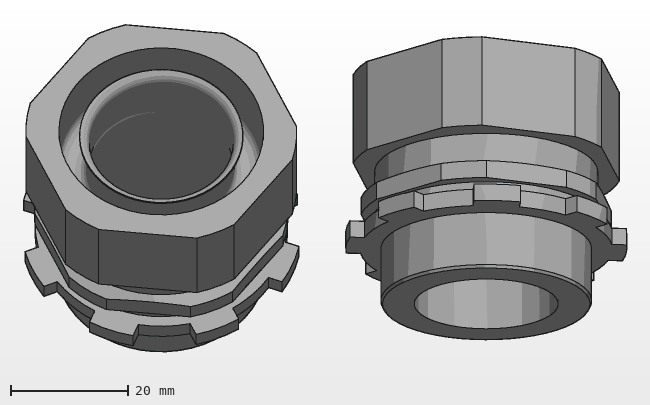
import cadquery as cq
import math

total_height = 40.0
head_bottom = 23.95
nut_top = 18.75
nut_bottom = 15.0
lock_top = 12.95
lock_bottom = 9.95

thread_radius = 17.95
seat_radius = 19.5
collar_radius = 19.05
thread_chamfer_width = 0.3
thread_chamfer_height = 0.55

head_flat = 21.5
head_corner_radius = 23.1
nut_flat = 20.35
nut_corner_radius = 21.6
nut_bevel_height = 0.65

lock_root_radius = 21.5
tooth_tip_radius = 23.95
tooth_width = 7.95
tooth_count = 8

bore_radius = 12.25
socket_radius = 17.45
socket_shoulder = 29.7
sleeve_wall = 0.25
sleeve_top = 38.7
flare_width = 1.65
flare_height = 2.0

groove_bottom = 28.37
groove_top = 29.5
groove_depth = 0.1


def disc(radius, bottom, top):
    return cq.Workplane("XY").workplane(offset=bottom).circle(radius).extrude(top - bottom)


def hexagon(half_flats, corner_radius, bottom, top):
    """Hexagonal prism with flats facing +Y and -Y and turned-down corners."""
    corner_diameter = 2 * half_flats / math.cos(math.pi / 6)
    prism = cq.Workplane("XY").workplane(offset=bottom).polygon(6, corner_diameter).extrude(top - bottom)
    return prism.intersect(disc(corner_radius, bottom, top))


def revolve(profile):
    """Revolve a closed (radius, height) profile around the Z axis."""
    return profile.close().revolve(360, (0, 0, 0), (0, 1, 0))


def beveled_nut():
    nut = hexagon(nut_flat, nut_corner_radius, nut_bottom, nut_top)
    envelope = revolve(
        cq.Workplane("XZ")
        .moveTo(0, nut_bottom)
        .lineTo(nut_corner_radius, nut_bottom)
        .lineTo(nut_corner_radius, nut_top - nut_bevel_height)
        .lineTo(collar_radius, nut_top)
        .lineTo(0, nut_top)
    )
    return nut.intersect(envelope)


def lock_ring():
    height = lock_top - lock_bottom
    teeth = cq.Workplane("XY")
    for i in range(tooth_count // 2):
        bar = (
            cq.Workplane("XY")
            .box(2 * tooth_tip_radius, tooth_width, height, centered=(True, True, False))
            .translate((0, 0, lock_bottom))
            .rotate((0, 0, 0), (0, 0, 1), i * 360 / tooth_count)
        )
        teeth = teeth.add(bar)
    teeth = teeth.combine()
    teeth = teeth.intersect(disc(tooth_tip_radius, lock_bottom, lock_top))
    return disc(lock_root_radius, lock_bottom, lock_top).union(teeth)


def threaded_end():
    return revolve(
        cq.Workplane("XZ")
        .lineTo(thread_radius - thread_chamfer_width, 0)
        .lineTo(thread_radius, thread_chamfer_height)
        .lineTo(thread_radius, lock_top)
        .lineTo(0, lock_top)
    )


def socket():
    """Annular space around the sleeve, with a half-round floor."""
    inner_radius = bore_radius + sleeve_wall
    floor_radius = (socket_radius - inner_radius) / 2
    floor_middle = (socket_radius + inner_radius) / 2
    return revolve(
        cq.Workplane("XZ")
        .moveTo(inner_radius, socket_shoulder)
        .threePointArc((floor_middle, socket_shoulder - floor_radius), (socket_radius, socket_shoulder))
        .lineTo(socket_radius, total_height)
        .lineTo(inner_radius, total_height)
    )


def sleeve():
    """Thin tube whose mouth flares outward along an arc."""
    arc_radius = (flare_width**2 + flare_height**2) / (2 * flare_width)
    arc_center = bore_radius + arc_radius
    arc_start = sleeve_top - flare_height
    sweep = math.asin(flare_height / arc_radius)

    def arc_point(radius, angle):
        return (arc_center - radius * math.cos(angle), arc_start + radius * math.sin(angle))

    outer_arc_radius = arc_radius - sleeve_wall
    return revolve(
        cq.Workplane("XZ")
        .moveTo(bore_radius, socket_shoulder)
        .lineTo(bore_radius, arc_start)
        .threePointArc(arc_point(arc_radius, sweep / 2), arc_point(arc_radius, sweep))
        .lineTo(*arc_point(outer_arc_radius, sweep))
        .threePointArc(arc_point(outer_arc_radius, sweep / 2), arc_point(outer_arc_radius, 0))
        .lineTo(bore_radius + sleeve_wall, socket_shoulder)
    )


def bore_groove():
    middle = (groove_bottom + groove_top) / 2
    return revolve(
        cq.Workplane("XZ")
        .moveTo(0, groove_bottom)
        .lineTo(bore_radius, groove_bottom)
        .threePointArc((bore_radius + groove_depth, middle), (bore_radius, groove_top))
        .lineTo(0, groove_top)
    )


outside = (
    threaded_end()
    .union(lock_ring())
    .union(disc(seat_radius, lock_top, nut_bottom))
    .union(beveled_nut())
    .union(disc(collar_radius, nut_top, head_bottom))
    .union(hexagon(head_flat, head_corner_radius, head_bottom, total_height))
)

result = (
    outside
    .cut(socket())
    .cut(disc(bore_radius + sleeve_wall, socket_shoulder, total_height))
    .cut(disc(bore_radius, 0, total_height))
    .union(sleeve())
    .cut(bore_groove())
)